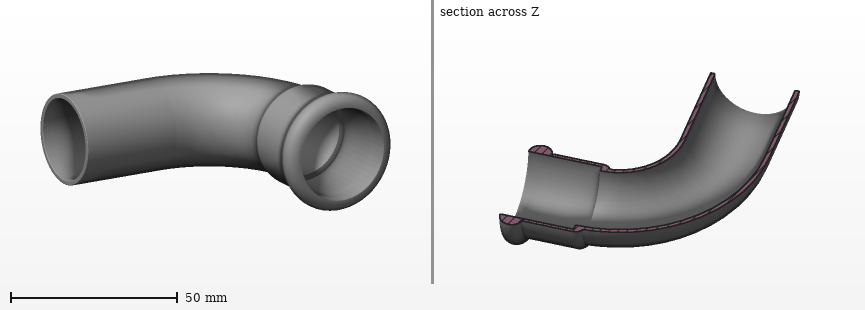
import cadquery as cq
import math

length_x = 70.0
length_y = 82.3
tube_diameter = 28.0
tube_bore = 25.0
bend_radius = 32.9
end_chamfer = 0.2

socket_diameter = 31.4
socket_bore = 28.8
socket_start = 43.9
shoulder_radius = 3.0
bead_diameter = 36.65
bead_width = 7.4

tube_radius = tube_diameter / 2
socket_radius = socket_diameter / 2
bead_radius = bead_diameter / 2
bead_round = bead_width / 2

leg_x = -length_x / 2 + tube_radius
end_y = -length_y / 2
axis_y = length_y / 2 - bead_radius
bend_start_y = axis_y - bend_radius
bend_end_x = leg_x + bend_radius
socket_back_x = -length_x / 2 + socket_start
mouth_x = length_x / 2


def elbow(diameter):
    """Solid rod along the straight leg and round the quarter bend."""
    diagonal = bend_radius * math.sqrt(0.5)
    path = (
        cq.Workplane("XY")
        .moveTo(leg_x, end_y)
        .lineTo(leg_x, bend_start_y)
        .threePointArc((bend_end_x - diagonal, bend_start_y + diagonal), (bend_end_x, axis_y))
    )
    return cq.Workplane("XZ", origin=(leg_x, end_y, 0)).circle(diameter / 2).sweep(path)


def socket_body():
    """Solid of the socket: rounded shoulder, plain sleeve and half-round bead."""
    bead_back_x = mouth_x - bead_width
    shoulder_x = socket_back_x + shoulder_radius
    bead_flat = bead_radius - bead_round
    diagonal = shoulder_radius * math.sqrt(0.5)
    sleeve = (
        cq.Workplane("XY")
        .moveTo(socket_back_x, axis_y)
        .lineTo(socket_back_x, axis_y + socket_radius - shoulder_radius)
        .threePointArc(
            (shoulder_x - diagonal, axis_y + socket_radius - shoulder_radius + diagonal),
            (shoulder_x, axis_y + socket_radius),
        )
        .lineTo(bead_back_x, axis_y + socket_radius)
        .lineTo(bead_back_x, axis_y + bead_flat)
        .threePointArc((bead_back_x + bead_round, axis_y + bead_radius), (mouth_x, axis_y + bead_flat))
        .lineTo(mouth_x, axis_y)
        .close()
    )
    return sleeve.revolve(360, (0, axis_y, 0), (1, axis_y, 0))


socket_hole = (
    cq.Workplane("YZ", origin=(bend_end_x, axis_y, 0))
    .circle(socket_bore / 2)
    .extrude(mouth_x - bend_end_x)
)

result = elbow(tube_diameter).union(socket_body()).cut(elbow(tube_bore)).cut(socket_hole)

result = result.faces("<Y").chamfer(end_chamfer)